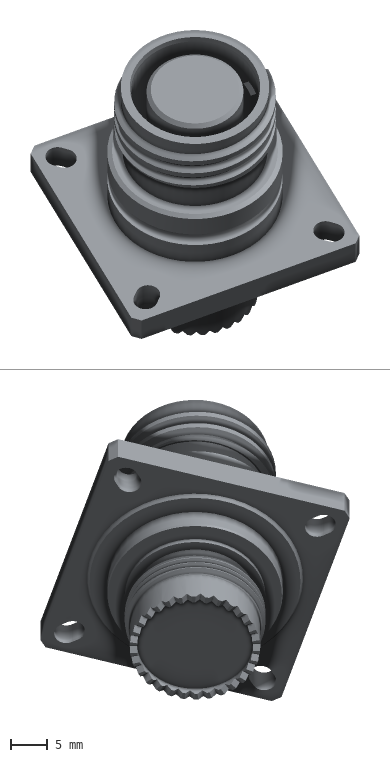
import cadquery as cq
import math

total_height = 41.91

flange_size = 34.16
flange_thickness = 3.9
flange_top = 19.2
flange_bottom = flange_top - flange_thickness
flange_corner_chamfer = 1.05
slot_count = 4
slot_first_angle = 45
slot_offset = 13.65
slot_width = 3.3
slot_straight_length = 1.0
pad_radius = 14.65
pad_thickness = 0.5
pad_edge_run = 0.35

body_radius = 11.9
body_bottom = 11.85
body_bottom_chamfer_height = 0.3
body_bottom_chamfer_run = 0.12
collar_top = 28.53
collar_chamfer_height = 0.3
collar_chamfer_run = 0.65
neck_radius = 9.84

groove_height = 23.85
groove_floor_radius = 10.12
groove_rounding = 1.12
groove_center_radius = groove_floor_radius + groove_rounding

shell_radius = 10.07
shell_bottom = total_height - 8.89
coarse_pitch = 2.54
coarse_crest_radius = 10.97
coarse_base_width = 1.75
coarse_crest_width = 0.85
coarse_end_height = total_height - 2.2
coarse_end_angle = 90
coarse_turns = 3
coarse_trim_slope = 0.75

socket_radius = 8.68
socket_mouth_radius = 8.84
socket_mouth_depth = 0.74
socket_floor = collar_top
plug_radius = 6.57
plug_top = total_height - 0.53
plug_chamfer_run = 0.58
plug_chamfer_height = 0.45
key_width = 2.4
key_inner_radius = 7.88
key_top = total_height - 4.5

shoulder_radius = 9.55
shoulder_bottom = total_height - 30.74
relief_radius = 8.27
tail_radius = 8.85
tail_top = total_height - 32.97
fine_thread_bottom = total_height - 37.1
fine_pitch = 25.4 / 24
fine_crest_radius = 9.55
fine_base_width = 0.9
fine_crest_width = 0.12
fine_thread_phase_height = total_height - 36.8

notch_count = 30
notch_depth = 0.73
notch_width = 1.3
notch_ring_width = 1.0
tail_recess_radius = tail_radius - notch_ring_width
tail_recess_depth = 1.14

overlap = 0.2
thread_overlap = 0.05


def turn(profile):
    """Solid turned about Z from a closed outline whose local X is radius and local Y is height."""
    return profile.revolve(360, (0, 0, 0), (0, 1, 0))


def make_body():
    """Turned body: tail, shoulder, main body, collar, neck and shell in one profile."""
    groove_top = groove_height + groove_rounding
    groove_bottom = groove_height - groove_rounding
    profile = (
        cq.Workplane("XZ")
        .moveTo(0, 0)
        .lineTo(tail_radius, 0)
        .lineTo(tail_radius, tail_top)
        .lineTo(relief_radius, tail_top)
        .lineTo(relief_radius, shoulder_bottom)
        .lineTo(shoulder_radius, shoulder_bottom)
        .lineTo(shoulder_radius, body_bottom)
        .lineTo(body_radius - body_bottom_chamfer_run, body_bottom)
        .lineTo(body_radius, body_bottom + body_bottom_chamfer_height)
        .lineTo(body_radius, groove_bottom)
        .lineTo(groove_center_radius, groove_bottom)
        .threePointArc((groove_floor_radius, groove_height), (groove_center_radius, groove_top))
        .lineTo(body_radius, groove_top)
        .lineTo(body_radius, collar_top - collar_chamfer_height)
        .lineTo(body_radius - collar_chamfer_run, collar_top)
        .lineTo(neck_radius, collar_top)
        .lineTo(neck_radius, shell_bottom)
        .lineTo(shell_radius, shell_bottom)
        .lineTo(shell_radius, total_height)
        .lineTo(0, total_height)
        .close()
    )
    return turn(profile)


def make_flange():
    """Square flange with chamfered corners and a bevelled round pad below it."""
    plate = (
        cq.Workplane("XY", origin=(0, 0, flange_bottom))
        .rect(flange_size, flange_size)
        .extrude(flange_thickness)
        .edges("|Z")
        .chamfer(flange_corner_chamfer)
    )
    pad = (
        cq.Workplane("XZ")
        .moveTo(0, flange_bottom - pad_thickness)
        .lineTo(pad_radius - pad_edge_run, flange_bottom - pad_thickness)
        .lineTo(pad_radius, flange_bottom)
        .lineTo(0, flange_bottom)
        .close()
    )
    return plate.union(turn(pad))


def make_slots():
    """Four mounting slots on the flange diagonals, each long towards the axis."""
    return (
        cq.Workplane("XY", origin=(0, 0, flange_bottom))
        .polarArray(slot_offset * math.sqrt(2), slot_first_angle, 360, slot_count)
        .slot2D(slot_straight_length + slot_width, slot_width)
        .extrude(flange_thickness)
    )


def make_socket():
    """Ring-shaped recess around the plug, with a tapered mouth and a key on the +Y wall."""
    recess = (
        cq.Workplane("XZ")
        .moveTo(0, socket_floor)
        .lineTo(socket_radius, socket_floor)
        .lineTo(socket_radius, total_height - socket_mouth_depth)
        .lineTo(socket_mouth_radius, total_height)
        .lineTo(0, total_height)
        .close()
    )
    plug = (
        cq.Workplane("XZ")
        .moveTo(0, socket_floor)
        .lineTo(plug_radius, socket_floor)
        .lineTo(plug_radius, plug_top - plug_chamfer_height)
        .lineTo(plug_radius - plug_chamfer_run, plug_top)
        .lineTo(0, plug_top)
        .close()
    )
    key_outer_radius = socket_radius + overlap
    key_height = key_top - socket_floor
    key_space = (
        cq.Workplane("XY", origin=(0, key_outer_radius / 2, socket_floor))
        .rect(key_width, key_outer_radius)
        .extrude(key_height)
    )
    key_hollow = cq.Workplane("XY", origin=(0, 0, socket_floor)).circle(key_inner_radius).extrude(key_height)
    key = key_space.cut(key_hollow)
    return turn(recess).cut(turn(plug)).cut(key)


def make_thread(pitch, turns, root_radius, crest_radius, base_width, crest_width):
    """Right-hand ridge whose middle starts at Z = 0 on the +X side and climbs for the given turns."""
    inner_radius = root_radius - thread_overlap
    flank_slope = (base_width - crest_width) / (crest_radius - root_radius)
    inner_half_width = (base_width + flank_slope * thread_overlap) / 2
    crest_half_width = crest_width / 2
    path = cq.Workplane(obj=cq.Wire.makeHelix(pitch, pitch * turns, root_radius))
    return (
        cq.Workplane("XZ")
        .moveTo(inner_radius, -inner_half_width)
        .lineTo(crest_radius, -crest_half_width)
        .lineTo(crest_radius, crest_half_width)
        .lineTo(inner_radius, inner_half_width)
        .close()
        .sweep(path, isFrenet=True)
    )


def make_coarse_thread():
    """Shell thread ending on the +Y side, with its lower end trimmed by a cone."""
    ridge = make_thread(
        coarse_pitch, coarse_turns, shell_radius, coarse_crest_radius, coarse_base_width, coarse_crest_width
    )
    start_height = coarse_end_height - coarse_pitch * coarse_turns
    ridge = ridge.rotate((0, 0, 0), (0, 0, 1), coarse_end_angle).translate((0, 0, start_height))
    trim_radius = coarse_crest_radius + overlap
    cone_height = (trim_radius - shell_radius) * coarse_trim_slope
    limits = (
        cq.Workplane("XZ")
        .moveTo(0, shell_bottom)
        .lineTo(shell_radius, shell_bottom)
        .lineTo(trim_radius, shell_bottom + cone_height)
        .lineTo(trim_radius, total_height)
        .lineTo(0, total_height)
        .close()
    )
    return ridge.intersect(turn(limits))


def make_fine_thread():
    """Tail thread with both ends trimmed by 45 degree cones."""
    length = tail_top - fine_thread_bottom
    spare_turns = 1
    turns = math.ceil(length / fine_pitch) + 2 * spare_turns
    ridge = make_thread(
        fine_pitch, turns, tail_radius, fine_crest_radius, fine_base_width, fine_crest_width
    )
    ridge = ridge.translate((0, 0, fine_thread_phase_height - spare_turns * fine_pitch))
    outer_radius = fine_crest_radius + overlap
    cone_height = outer_radius - tail_radius
    limits = (
        cq.Workplane("XZ")
        .moveTo(0, fine_thread_bottom)
        .lineTo(tail_radius, fine_thread_bottom)
        .lineTo(outer_radius, fine_thread_bottom + cone_height)
        .lineTo(outer_radius, tail_top - cone_height)
        .lineTo(tail_radius, tail_top)
        .lineTo(0, tail_top)
        .close()
    )
    return ridge.intersect(turn(limits))


def make_tail_recess():
    """Shallow round recess in the tail end, leaving a ring for the notches."""
    return cq.Workplane("XY").circle(tail_recess_radius).extrude(tail_recess_depth)


def make_notches():
    """V-shaped notches around the rim of the tail end."""
    notch = (
        cq.Workplane("YZ", origin=(tail_recess_radius - overlap, 0, 0))
        .moveTo(-notch_width / 2, 0)
        .lineTo(0, notch_depth)
        .lineTo(notch_width / 2, 0)
        .close()
        .extrude(notch_ring_width + 2 * overlap)
    )
    step_angle = 360 / notch_count
    notches = cq.Workplane("XY")
    for index in range(notch_count):
        notches = notches.add(notch.rotate((0, 0, 0), (0, 0, 1), index * step_angle))
    return notches.combine()


result = (
    make_body()
    .union(make_flange())
    .cut(make_slots())
    .union(make_coarse_thread())
    .union(make_fine_thread())
    .cut(make_socket())
    .cut(make_tail_recess())
    .cut(make_notches())
)